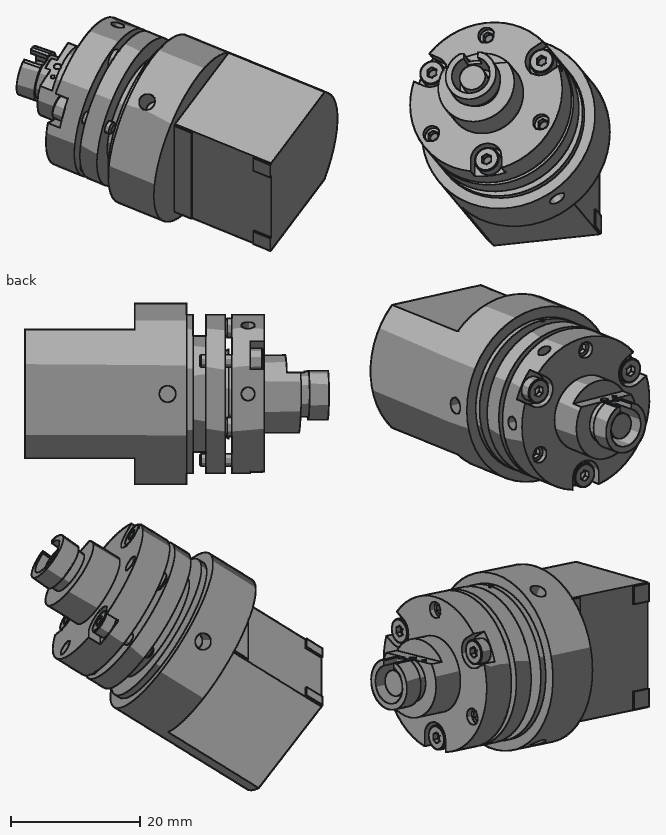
import cadquery as cq
import math

HUB_FACE = 4.7
FLANGE_START = 10.0
FLANGE_END = 15.05
PLATE_START = 16.05
PLATE_END = 19.05
COLLAR_START = 21.05
BODY_START = 22.0
BLOCK_START = 30.05
TOTAL_LENGTH = 47.05

HUB_RADIUS = 6.0
DISC_RADIUS = 12.3
NECK_RADIUS = 9.0
BODY_DIAMETER = 28.0
BODY_RADIUS = BODY_DIAMETER / 2

BLOCK_HALF_HEIGHT = 9.97
BLOCK_FRONT_Y = -7.25
PAD_HEIGHT = 0.3
PAD_EDGE_Z = 9.85
PAD_STRIP_WIDTH = 3.0
CORNER_PAD_LENGTH = 3.0
CORNER_PAD_HEIGHT = 2.85

TILT = 3.5
TILT_PIVOT_X = 7.7
RING_RADIUS = 4.0
RING_LENGTH = 3.0
STEM_RADIUS = 3.55
STEM_RELIEF = 0.55
BORE_RADIUS = 3.0
BORE_DEPTH = 5.65
POST_RADIUS = 2.0
POST_SETBACK = 1.15
KEY_WIDTH = 2.2
KEY_OVERRUN = 0.15
KEY_CORNER = 0.65
RING_FLAT_Z = 3.6
STEP_FLAT_Z = 3.35
STEP_LENGTH = 2.1
MARK_DEPTH = 0.07
LARGE_MARK = (0.55, 0.65, 0.0)
SMALL_MARK = (0.35, 0.95, -2.25)

PITCH_RADIUS = 10.2
CAP_ANGLES = (30, 150, 270)
JACK_ANGLES = (90, 210, 330)
POCKET_RADIUS = 2.5
POCKET_DEPTH = 2.15
HEAD_RADIUS = 1.95
HEAD_SETBACK = 0.25
HEAD_CHAMFER = 0.15
SHANK_RADIUS = 1.0
SHANK_END = 20.05
SHANK_CHAMFER = 0.3
CAP_HEX_FLATS = 1.5
JACK_RADIUS = 1.5
JACK_CHAMFER = 0.3
JACK_HOLE_RADIUS = 1.25
JACK_HOLE_DEPTH = 1.0
JACK_HEX_FLATS = 1.5
HEX_DEPTH = 0.95
HEX_TIP_RADIUS = 0.05

WASHER_SPLIT = 15.55
SMALL_WASHER_RADIUS = 5.45
LARGE_WASHER_RADIUS = 6.9
WASHER_TAPER = 0.25

FLANGE_HOLE_RADIUS = 1.05
FLANGE_HOLE_DEPTH = 3.75
FLANGE_HOLE_ANGLES = (0, 60)
BODY_HOLE_RADIUS = 1.25
BODY_HOLE_X = 25.0
BODY_HOLE_DEPTH = 4.7
BODY_HOLE_ANGLES = (0, 120, 240)
SLIT_WIDTH = 0.38
SLIT_DEPTH = 0.3

CLEARANCE = 0.45


def x_cylinder(radius, start, end, y=0.0, z=0.0):
    """Cylinder parallel to X from start to end."""
    return cq.Workplane("YZ", origin=(start, y, z)).circle(radius).extrude(end - start)


def x_cone(start_radius, end_radius, start, end):
    """Truncated cone around the X axis."""
    outline = [(start, 0), (start, start_radius), (end, end_radius), (end, 0)]
    return cq.Workplane("XY").polyline(outline).close().revolve(360, (0, 0, 0), (1, 0, 0))


def block(x_range, y_range, z_range):
    """Box given by its limits on each axis."""
    (x0, x1), (y0, y1), (z0, z1) = x_range, y_range, z_range
    return cq.Workplane("XY").box(x1 - x0, y1 - y0, z1 - z0, centered=False).translate((x0, y0, z0))


def pitch_point(angle):
    """Y and Z of a screw; the angle runs from +Y towards +Z."""
    turn = math.radians(angle)
    return PITCH_RADIUS * math.cos(turn), PITCH_RADIUS * math.sin(turn)


def radial_hole(radius, depth, x, outer_radius, angle):
    """Blind hole drilled towards the X axis; the angle runs from +Y towards +Z."""
    drill = cq.Workplane("XZ", origin=(x, outer_radius + CLEARANCE, 0))
    drill = drill.circle(radius).extrude(depth + CLEARANCE)
    return drill.rotate((0, 0, 0), (1, 0, 0), angle)


def hex_socket(flats, start, y, z):
    """Hexagonal socket with two corners along Z and a conical bottom."""
    corners = flats / math.cos(math.radians(30))
    socket = cq.Workplane("YZ", origin=(start, y, z)).transformed(rotate=(0, 0, 90))
    socket = socket.polygon(6, corners).extrude(HEX_DEPTH)
    tip_start = start + HEX_DEPTH
    tip = x_cone(flats / 2, HEX_TIP_RADIUS, tip_start, tip_start + flats / 2)
    return socket.union(tip.translate((0, y, z)))


def tilted(shape):
    """Swing a shape about the vertical line through the tilt pivot."""
    return shape.rotate((TILT_PIVOT_X, 0, 0), (TILT_PIVOT_X, 0, 1), TILT)


def make_body():
    body = x_cylinder(BODY_RADIUS, BODY_START, BLOCK_START)
    square = block(
        (BLOCK_START, TOTAL_LENGTH),
        (BLOCK_FRONT_Y, BODY_RADIUS),
        (-BLOCK_HALF_HEIGHT, BLOCK_HALF_HEIGHT),
    )
    body = body.union(x_cylinder(BODY_RADIUS, BLOCK_START, TOTAL_LENGTH).intersect(square))
    pad_y = (BLOCK_FRONT_Y - PAD_HEIGHT, BLOCK_FRONT_Y)
    strip_x = (BLOCK_START, BLOCK_START + PAD_STRIP_WIDTH)
    body = body.union(block(strip_x, pad_y, (-PAD_EDGE_Z, PAD_EDGE_Z)))
    corner_x = (TOTAL_LENGTH - CORNER_PAD_LENGTH, TOTAL_LENGTH)
    for low_z in (-PAD_EDGE_Z, PAD_EDGE_Z - CORNER_PAD_HEIGHT):
        body = body.union(block(corner_x, pad_y, (low_z, low_z + CORNER_PAD_HEIGHT)))
    for angle in BODY_HOLE_ANGLES:
        body = body.cut(radial_hole(BODY_HOLE_RADIUS, BODY_HOLE_DEPTH, BODY_HOLE_X, BODY_RADIUS, angle))
    return body


def make_middle():
    collar = x_cylinder(DISC_RADIUS, COLLAR_START, BODY_START)
    slit_y = (-SLIT_WIDTH / 2, SLIT_WIDTH / 2)
    slit_z = (DISC_RADIUS - SLIT_DEPTH, DISC_RADIUS)
    middle = collar.cut(block((COLLAR_START, BODY_START), slit_y, slit_z))
    middle = middle.union(x_cylinder(NECK_RADIUS, PLATE_END, COLLAR_START))
    middle = middle.union(x_cylinder(DISC_RADIUS, PLATE_START, PLATE_END))
    for radius, start, end in (
        (SMALL_WASHER_RADIUS, FLANGE_END, WASHER_SPLIT),
        (LARGE_WASHER_RADIUS, WASHER_SPLIT, PLATE_START),
    ):
        middle = middle.union(x_cone(radius, radius - WASHER_TAPER, start, end))
    return middle


def make_flange():
    flange = x_cylinder(DISC_RADIUS, FLANGE_START, FLANGE_END)
    pocket_floor = FLANGE_START + POCKET_DEPTH
    pocket = x_cylinder(POCKET_RADIUS, FLANGE_START, pocket_floor, PITCH_RADIUS).union(
        block(
            (FLANGE_START, pocket_floor),
            (PITCH_RADIUS, DISC_RADIUS + CLEARANCE),
            (-POCKET_RADIUS, POCKET_RADIUS),
        )
    )
    for angle in CAP_ANGLES:
        flange = flange.cut(pocket.rotate((0, 0, 0), (1, 0, 0), angle))
    hole_x = (FLANGE_START + FLANGE_END) / 2
    for angle in FLANGE_HOLE_ANGLES:
        flange = flange.cut(radial_hole(FLANGE_HOLE_RADIUS, FLANGE_HOLE_DEPTH, hole_x, DISC_RADIUS, angle))
    return flange


def add_cap_screw(part, angle):
    """Socket-head screw whose shank passes through flange and plate."""
    y, z = pitch_point(angle)
    head_start = FLANGE_START + HEAD_SETBACK
    head = x_cylinder(HEAD_RADIUS, head_start, FLANGE_START + POCKET_DEPTH, y, z)
    head = head.faces("<X").chamfer(HEAD_CHAMFER)
    shank = x_cylinder(SHANK_RADIUS, FLANGE_START + POCKET_DEPTH, SHANK_END, y, z)
    shank = shank.faces(">X").chamfer(SHANK_CHAMFER)
    return part.union(head).union(shank).cut(hex_socket(CAP_HEX_FLATS, head_start, y, z))


def add_jack_screw(part, angle):
    """Set screw sunk in the flange and pressing on the plate."""
    y, z = pitch_point(angle)
    floor = FLANGE_START + JACK_HOLE_DEPTH
    screw = x_cylinder(JACK_RADIUS, floor, PLATE_START, y, z).faces(">X").chamfer(JACK_CHAMFER)
    hole = x_cylinder(JACK_HOLE_RADIUS, FLANGE_START, floor, y, z)
    return part.union(screw).cut(hole).cut(hex_socket(JACK_HEX_FLATS, floor, y, z))


def make_nozzle():
    tilt = math.radians(TILT)
    rim = TILT_PIVOT_X - (TILT_PIVOT_X - RING_RADIUS * math.sin(tilt)) / math.cos(tilt)
    ring_end = rim + RING_LENGTH
    step_end = HUB_FACE + STEP_LENGTH
    above = 2 * HUB_RADIUS
    wide = (-above, above)

    hub = x_cylinder(HUB_RADIUS, 0, FLANGE_START)
    hub = hub.cut(tilted(block((-HUB_FACE, HUB_FACE), wide, wide)))

    ring = x_cylinder(RING_RADIUS, rim, ring_end)
    ring = ring.cut(block((rim, ring_end), wide, (RING_FLAT_Z, above)))
    nozzle = hub.union(tilted(ring.union(x_cylinder(STEM_RADIUS, ring_end, step_end))))

    step = block((ring_end + STEM_RELIEF, step_end), wide, (STEP_FLAT_Z, above))
    for radius, setback, y in (LARGE_MARK, SMALL_MARK):
        mark_start = (HUB_FACE + setback, y, STEP_FLAT_Z - MARK_DEPTH)
        step = step.union(cq.Workplane("XY", origin=mark_start).circle(radius).extrude(2 * MARK_DEPTH))
    nozzle = nozzle.cut(tilted(step))

    bore = x_cylinder(BORE_RADIUS, rim, rim + BORE_DEPTH)
    bore = bore.cut(x_cylinder(POST_RADIUS, rim + POST_SETBACK, rim + BORE_DEPTH))
    keyway = block((rim, ring_end + KEY_OVERRUN), (-KEY_WIDTH / 2, KEY_WIDTH / 2), (POST_RADIUS, above))
    keyway = keyway.edges("|Z and >X").fillet(KEY_CORNER)
    return nozzle.cut(tilted(bore.union(keyway)))


result = make_body().union(make_middle()).union(make_flange()).union(make_nozzle())
for screw_angle in CAP_ANGLES:
    result = add_cap_screw(result, screw_angle)
for screw_angle in JACK_ANGLES:
    result = add_jack_screw(result, screw_angle)